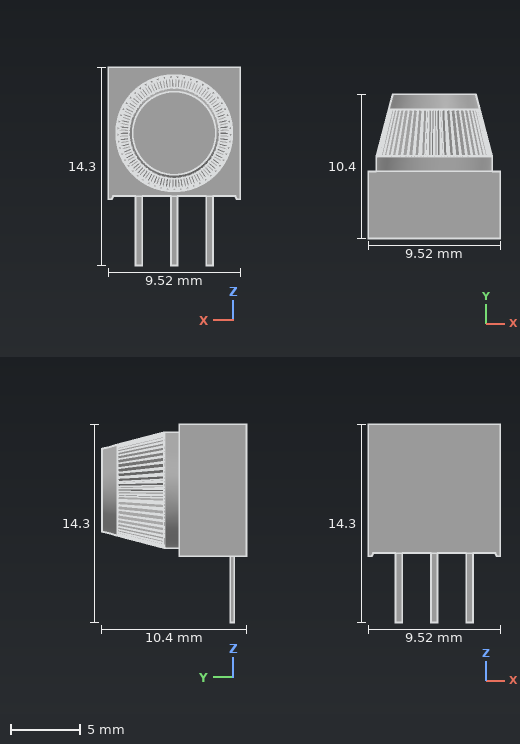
import cadquery as cq

HOUSING_SIZE = 9.52
HOUSING_DEPTH = 4.85
FOOT_HEIGHT = 0.23
FOOT_TIP_WIDTH = 0.27
FOOT_ROOT_WIDTH = 0.37

OVERALL_HEIGHT = 14.3
PIN_COUNT = 3
PIN_PITCH = 2.55
PIN_WIDTH = 0.5
PIN_THICKNESS = 0.3
PIN_SETBACK = 1.03

OVERALL_DEPTH = 10.41
COLLAR_DIAMETER = 8.38
COLLAR_LENGTH = 1
TIP_DIAMETER = 5.99

GROOVE_COUNT = 53
GROOVE_WIDTH = 0.4
GROOVE_DEPTH = 0.35
GROOVE_OFFSET = 0.11
BAND_LENGTH = 1.09
CUTTER_RISE = 0.09

collar_radius = COLLAR_DIAMETER / 2
tip_radius = TIP_DIAMETER / 2
taper_start = HOUSING_DEPTH + COLLAR_LENGTH
taper_slope = (tip_radius - collar_radius) / (OVERALL_DEPTH - taper_start)


def make_housing():
    """Block with its back face on y = 0, centred on the knob axis in X and Z."""
    half = HOUSING_SIZE / 2
    tip_x = half - FOOT_TIP_WIDTH
    root_x = half - FOOT_ROOT_WIDTH
    relief_z = FOOT_HEIGHT - half
    outline = [
        (-half, half),
        (-half, -half),
        (-tip_x, -half),
        (-root_x, relief_z),
        (root_x, relief_z),
        (tip_x, -half),
        (half, -half),
        (half, half),
    ]
    return cq.Workplane("XZ").polyline(outline).close().extrude(-HOUSING_DEPTH)


def make_pins():
    """Row of rectangular leads hanging from the relieved underside."""
    top_z = FOOT_HEIGHT - HOUSING_SIZE / 2
    length = OVERALL_HEIGHT - HOUSING_SIZE + FOOT_HEIGHT
    return (
        cq.Workplane("XY", origin=(0, PIN_SETBACK, top_z))
        .rarray(PIN_PITCH, 0.15, PIN_COUNT, 1)
        .rect(PIN_WIDTH, PIN_THICKNESS)
        .extrude(-length)
    )


def make_knob_blank():
    """Collar and smooth taper revolved about the Y axis."""
    profile = [
        (0, HOUSING_DEPTH),
        (collar_radius, HOUSING_DEPTH),
        (collar_radius, taper_start),
        (tip_radius, OVERALL_DEPTH),
        (0, OVERALL_DEPTH),
    ]
    return cq.Workplane("XY").polyline(profile).close().revolve(360, (0, 0, 0), (0, 1, 0))


def groove_section(y):
    """V-section wire square to the taper, where the taper surface is at depth y above the axis."""
    surface = collar_radius + taper_slope * (y - taper_start)
    half_width = GROOVE_WIDTH / 2 * (GROOVE_DEPTH + CUTTER_RISE) / GROOVE_DEPTH
    outward = cq.Vector(0, -taper_slope, 1).normalized()
    sideways = cq.Vector(half_width, 0, 0)
    on_surface = cq.Vector(0, y, surface)
    root = on_surface - outward * GROOVE_DEPTH
    mouth = on_surface + outward * CUTTER_RISE
    return cq.Wire.makePolygon([root, mouth + sideways, mouth - sideways], close=True)


def make_groove_cutters():
    """One V-shaped cutter for every groove around the knob."""
    start = groove_section(taper_start + GROOVE_OFFSET)
    end = groove_section(OVERALL_DEPTH - BAND_LENGTH)
    cutter = cq.Solid.makeLoft([start, end], True)
    step = 360 / GROOVE_COUNT
    axis_start = cq.Vector(0, 0, 0)
    axis_end = cq.Vector(0, 1, 0)
    return [cutter.rotate(axis_start, axis_end, (i + 0.5) * step) for i in range(GROOVE_COUNT)]


knob = cq.Workplane(make_knob_blank().val().cut(*make_groove_cutters()))
result = make_housing().union(make_pins()).union(knob)